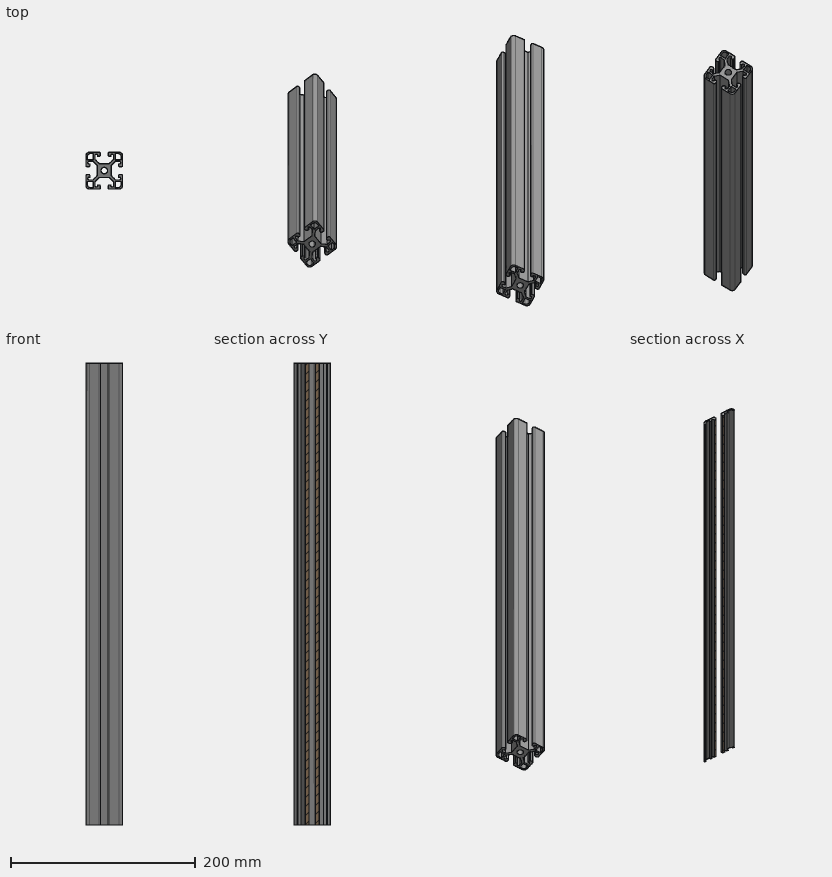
import cadquery as cq

width = 40.0
length = 500.0
corner_radius = 4.0

slot_opening = 8.2
lip_thickness = 4.6
lip_chamfer = 1.0
lip_rounding = 1.5
slot_depth = 12.3
groove_width = 20.0

hook_span = 14.4
pocket_wall = 2.3

web_offset = 2.2

hollow_inner = 12.0
hollow_outer = 18.3
hollow_radius = 3.3
bore_diameter = 6.8

half_width = width / 2
half_opening = slot_opening / 2
half_groove = groove_width / 2
half_hook = hook_span / 2
core_half = half_width - slot_depth
lip_y = half_width - lip_thickness
pocket_y = half_width - pocket_wall
pocket_radius = (half_groove - half_hook) / 2


def make_body():
    body = cq.Workplane("XY").rect(width, width).extrude(length)
    return body.edges("|Z").fillet(corner_radius)


def half_slot():
    """The +X half of the T-slot cutter for the +Y side."""
    return (
        cq.Workplane("XY")
        .moveTo(0, core_half)
        .lineTo(core_half - web_offset, core_half)
        .lineTo(half_groove, half_groove + web_offset)
        .lineTo(half_groove, pocket_y - pocket_radius)
        .threePointArc(
            (half_groove - pocket_radius, pocket_y),
            (half_hook, pocket_y - pocket_radius),
        )
        .lineTo(half_hook, lip_y)
        .lineTo(half_opening + lip_chamfer, lip_y)
        .lineTo(half_opening, lip_y + lip_chamfer)
        .lineTo(half_opening, half_width - lip_rounding)
        .radiusArc((half_opening + lip_rounding, half_width), lip_rounding)
        .lineTo(0, half_width)
        .close()
        .extrude(length)
    )


def make_slot():
    half = half_slot()
    return half.union(half.mirror("YZ"))


def make_corner_hollow():
    """Square cavity in the +X +Y corner, rounded at its outermost edge."""
    size = hollow_outer - hollow_inner
    centre = (hollow_outer + hollow_inner) / 2
    hollow = cq.Workplane("XY").center(centre, centre).rect(size, size).extrude(length)
    return hollow.edges("|Z and >(1, 1, 0)").fillet(hollow_radius)


def make_bore():
    return cq.Workplane("XY").circle(bore_diameter / 2).extrude(length)


result = make_body().cut(make_bore())
slot = make_slot()
corner_hollow = make_corner_hollow()
for angle in range(0, 360, 90):
    for cutter in (slot, corner_hollow):
        result = result.cut(cutter.rotate((0, 0, 0), (0, 0, 1), angle))